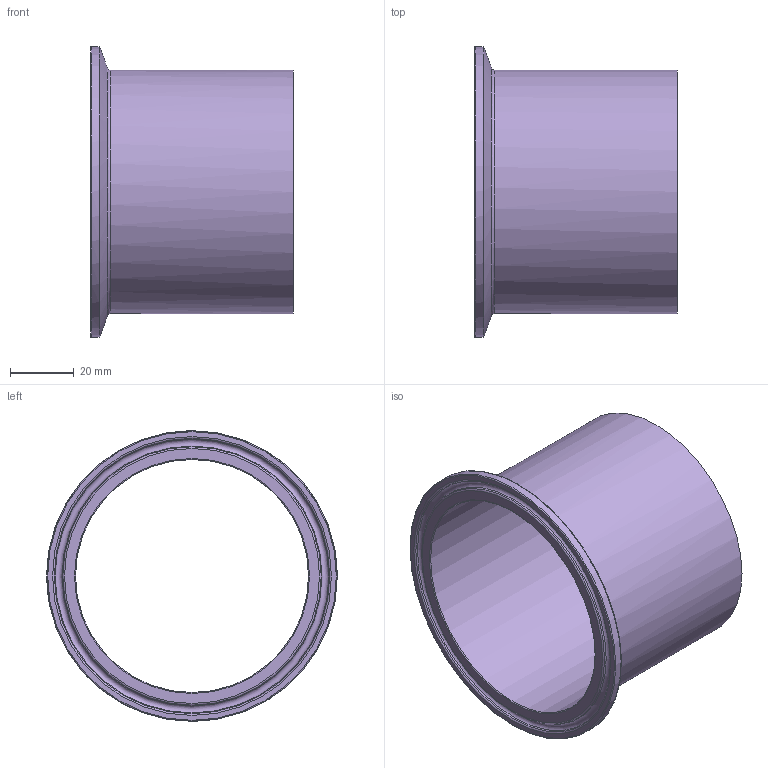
import cadquery as cq
import math

length = 63.5
tube_radius = 76.2 / 2
bore_radius = 72.9 / 2
flange_radius = 90.91 / 2

rim_width = 2.87
cone_angle = math.radians(20)
neck_fillet = 1.0
edge_round = 0.3

groove_centre_radius = 83.5 / 2
groove_depth = 1.6
groove_bottom_radius = 1.19
groove_lip_radius = 0.6
flank_angle = math.radians(23)


def revolve_about_x(profile):
    """Turn a closed XY profile a full circle about the X axis."""
    return profile.revolve(360, (0, 0, 0), (1, 0, 0))


def circles_at(body, x, radius):
    """Select the circular edges of one size at one place along the axis."""
    reach = 0.01
    corner = radius + reach
    nearby_box = cq.selectors.BoxSelector(
        (x - reach, -corner, -corner), (x + reach, corner, corner), boundingbox=True
    )
    circles = [edge for edge in body.edges(nearby_box).vals() if edge.geomType() == "CIRCLE"]
    return body.newObject([edge for edge in circles if abs(edge.radius() - radius) < reach])


def make_body():
    """Tube and flange, with the neck filleted and the flange edges rounded."""
    neck_x = rim_width + (flange_radius - tube_radius) * math.tan(cone_angle)
    body = revolve_about_x(
        cq.Workplane("XY")
        .moveTo(0, bore_radius)
        .lineTo(0, flange_radius)
        .lineTo(rim_width, flange_radius)
        .lineTo(neck_x, tube_radius)
        .lineTo(length, tube_radius)
        .lineTo(length, bore_radius)
        .close()
    )
    body = circles_at(body, neck_x, tube_radius).fillet(neck_fillet)
    for x, radius in ((0, flange_radius), (rim_width, flange_radius), (0, bore_radius)):
        body = circles_at(body, x, radius).fillet(edge_round)
    return body


def make_groove():
    """Ring to cut away: a round bottom, straight flanks and rounded lips."""
    turn = math.pi / 2 - flank_angle
    bottom_x = groove_depth - groove_bottom_radius * (1 - math.cos(turn))
    bottom_offset = groove_bottom_radius * math.sin(turn)
    lip_x = groove_lip_radius * (1 - math.cos(turn))
    lip_offset = bottom_offset + (bottom_x - lip_x) * math.tan(flank_angle)
    face_offset = lip_offset + groove_lip_radius * math.sin(turn)
    lip_mid_x = groove_lip_radius * (1 - math.cos(turn / 2))
    lip_mid_offset = face_offset - groove_lip_radius * math.sin(turn / 2)

    centre = groove_centre_radius
    return revolve_about_x(
        cq.Workplane("XY")
        .moveTo(0, centre - face_offset)
        .threePointArc((lip_mid_x, centre - lip_mid_offset), (lip_x, centre - lip_offset))
        .lineTo(bottom_x, centre - bottom_offset)
        .threePointArc((groove_depth, centre), (bottom_x, centre + bottom_offset))
        .lineTo(lip_x, centre + lip_offset)
        .threePointArc((lip_mid_x, centre + lip_mid_offset), (0, centre + face_offset))
        .close()
    )


result = make_body().cut(make_groove())